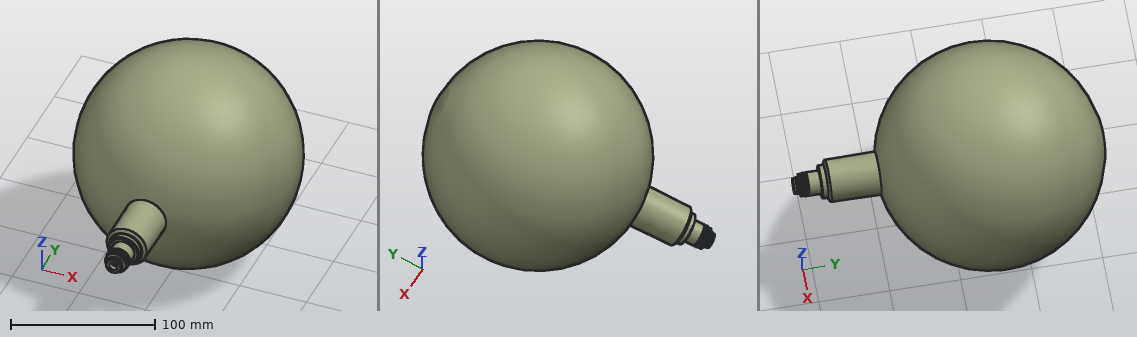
import cadquery as cq
import math

TOTAL_LENGTH = 218.0

BALL_DIAMETER = 160.0
CAP_RIM_DIAMETER = 38.8
CAP_STEP_DIAMETER = 29.6
CAP_STEP_DEPTH = 0.9
CAP_FLAT_DIAMETER = 18.3

SLEEVE_ROOT_DIAMETER = 30.5
SLEEVE_DIAMETER = 29.9
SLEEVE_CYLINDER_LENGTH = 11.1
SLEEVE_SHOULDER_DIAMETER = 28.0
SLEEVE_SHOULDER_LENGTH = 0.9
SLEEVE_END_DIAMETER = 24.8
SLEEVE_END_LENGTH = 0.9

COLLAR_DIAMETER = 23.3
COLLAR_LENGTH = 4.1
COLLAR_END_DIAMETER = 21.0
COLLAR_CHAMFER_LENGTH = 0.5

STEM_SECTIONS = [
    (16.5, 8.5),
    (15.7, 1.2),
    (16.5, 0.5),
    (15.7, 0.76),
    (16.5, 0.55),
    (15.7, 0.55),
    (11.5, 0.76),
    (15.7, 1.63),
    (10.0, 1.3),
    (11.8, 1.0),
    (11.0, 1.7),
]

BORE_DIAMETER = 6.0
BORE_DEPTH = 4.4

ball_radius = BALL_DIAMETER / 2
tip_y = ball_radius - TOTAL_LENGTH
collar_end_y = tip_y + sum(length for _, length in STEM_SECTIONS)
sleeve_end_y = collar_end_y + COLLAR_LENGTH


def revolve_about_y(profile):
    return profile.close().revolve(360, (0, 0), (0, 1))


def ball_height(diameter):
    """Distance from the centre plane to the ball surface, on a circle of this diameter."""
    return math.sqrt(ball_radius**2 - (diameter / 2) ** 2)


def make_ball():
    """Ball with the bevelled cap at its +Y pole."""
    rim_point = (CAP_RIM_DIAMETER / 2, ball_height(CAP_RIM_DIAMETER))
    return revolve_about_y(
        cq.Workplane("XY")
        .moveTo(0, -ball_radius)
        .threePointArc((ball_radius, 0), rim_point)
        .lineTo(CAP_STEP_DIAMETER / 2, ball_radius - CAP_STEP_DEPTH)
        .lineTo(CAP_FLAT_DIAMETER / 2, ball_radius)
        .lineTo(0, ball_radius)
    )


def make_stem():
    """Stepped stem, rooted inside the ball."""
    root_y = -ball_radius / 2
    taper_start_y = -ball_height(SLEEVE_ROOT_DIAMETER)
    shoulder_y = sleeve_end_y + SLEEVE_END_LENGTH
    points = [
        (0, root_y),
        (SLEEVE_ROOT_DIAMETER / 2, root_y),
        (SLEEVE_ROOT_DIAMETER / 2, taper_start_y),
        (SLEEVE_DIAMETER / 2, sleeve_end_y + SLEEVE_CYLINDER_LENGTH),
        (SLEEVE_DIAMETER / 2, shoulder_y + SLEEVE_SHOULDER_LENGTH),
        (SLEEVE_SHOULDER_DIAMETER / 2, shoulder_y),
        (SLEEVE_END_DIAMETER / 2, sleeve_end_y),
        (COLLAR_DIAMETER / 2, sleeve_end_y),
        (COLLAR_DIAMETER / 2, collar_end_y + COLLAR_CHAMFER_LENGTH),
        (COLLAR_END_DIAMETER / 2, collar_end_y),
    ]
    start_y = collar_end_y
    for diameter, length in STEM_SECTIONS:
        end_y = start_y - length
        points += [(diameter / 2, start_y), (diameter / 2, end_y)]
        start_y = end_y
    points.append((0, tip_y))
    return revolve_about_y(cq.Workplane("XY").polyline(points))


def make_bore():
    """Cutter for the blind bore, running from the tip toward +Y."""
    tip_plane = cq.Workplane("XZ", origin=(0, tip_y, 0))
    return tip_plane.circle(BORE_DIAMETER / 2).extrude(-BORE_DEPTH)


result = make_ball().union(make_stem()).cut(make_bore())